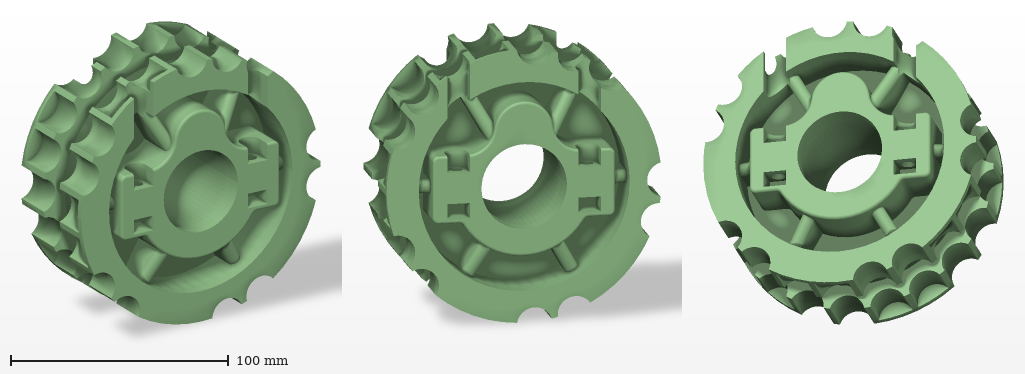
import cadquery as cq
import math

wheel_radius = 64.5
wheel_width = 53.0
half_width = wheel_width / 2
bore_radius = 20.0
groove_radius = 52.8
groove_width = 13.7
cavity_radius = 49.4
web_thickness = 7.0

pocket_count = 21
pocket_radius = 8.4
pocket_axis_radius = 66.0
pocket_wall = 3.0
walled_at_minus_x = (1, 2, 6, 7, 10, 11, 14, 15, 18, 19)
never_walled = (5,)

hub_radius = 33.0
lug_reach = 42.7
lug_half_height = 16.0
lug_corner_radius = 2.7
bump_top = 40.0
bump_radius = 13.8
bump_z = bump_top - bump_radius
blend_radius = 13.4
hub_edge_fillet = 1.3

rib_count = 6
rib_thickness = 6.3
rib_nose_at_hub = 19.4
rib_nose_at_rim = 15.4
rib_start = (bore_radius + hub_radius) / 2
rib_end = (cavity_radius + groove_radius) / 2

bolt_y = 30.7
bolt_to_end = 6.8
bolt_x = half_width - bolt_to_end
bolt_hole_radius = 3.2
seat_radius = 5.3
seat_z = 8.0
nut_top_z = -6.6
nut_bottom_z = -13.8


def disc(radius, width):
    """Cylinder along X, centred on the origin."""
    return cq.Workplane("YZ", origin=(-width / 2, 0, 0)).circle(radius).extrude(width)


def make_rim():
    """Disc with a groove around it, hollowed from both ends down to a central web."""
    groove = disc(wheel_radius, groove_width).cut(disc(groove_radius, groove_width))
    cavities = disc(cavity_radius, wheel_width).cut(disc(cavity_radius, web_thickness))
    return disc(wheel_radius, wheel_width).cut(groove).cut(cavities)


def make_hub():
    """Hub outline extruded along X, with rounded lug corners and end edges."""
    blend_z = lug_half_height + blend_radius
    blend_y = math.sqrt((bump_radius + blend_radius) ** 2 - (blend_z - bump_z) ** 2)
    tilt = math.atan2(blend_z - bump_z, blend_y)
    joint_y = bump_radius * math.cos(tilt)
    joint_z = bump_z + bump_radius * math.sin(tilt)
    middle_angle = (math.pi + tilt + 3 * math.pi / 2) / 2
    middle_y = blend_y + blend_radius * math.cos(middle_angle)
    middle_z = blend_z + blend_radius * math.sin(middle_angle)
    corner_y = math.sqrt(hub_radius**2 - lug_half_height**2)

    hub = (
        cq.Workplane("YZ", origin=(-half_width, 0, 0))
        .moveTo(joint_y, joint_z)
        .threePointArc((middle_y, middle_z), (blend_y, lug_half_height))
        .lineTo(lug_reach, lug_half_height)
        .lineTo(lug_reach, -lug_half_height)
        .lineTo(corner_y, -lug_half_height)
        .threePointArc((0, -hub_radius), (-corner_y, -lug_half_height))
        .lineTo(-lug_reach, -lug_half_height)
        .lineTo(-lug_reach, lug_half_height)
        .lineTo(-blend_y, lug_half_height)
        .threePointArc((-middle_y, middle_z), (-joint_y, joint_z))
        .threePointArc((0, bump_top), (joint_y, joint_z))
        .close()
        .extrude(wheel_width)
    )
    lug_ends = hub.faces("<Y or >Y").edges("|X")
    lug_roots = hub.edges(
        cq.NearestToPointSelector((0, corner_y, -lug_half_height))
        + cq.NearestToPointSelector((0, -corner_y, -lug_half_height))
    )
    hub = hub.newObject(lug_ends.vals() + lug_roots.vals()).fillet(lug_corner_radius)
    return hub.faces("<X or >X").edges().fillet(hub_edge_fillet)


def rib_nose_x(radius):
    """Distance along X from the web centre to a rib's rounding axis, at a distance from the wheel axis."""
    share = (radius - hub_radius) / (cavity_radius - hub_radius)
    return rib_nose_at_hub + share * (rib_nose_at_rim - rib_nose_at_hub)


def make_rib(angle):
    """Radial rib crossing the web, at an angle from +Y in degrees."""
    start_x = rib_nose_x(rib_start)
    end_x = rib_nose_x(rib_end)
    rib = (
        cq.Workplane("XY", origin=(0, 0, -rib_thickness / 2))
        .polyline([(start_x, rib_start), (end_x, rib_end), (-end_x, rib_end), (-start_x, rib_start)])
        .close()
        .extrude(rib_thickness)
    )
    for side_x in (-1, 1):
        nose_start = cq.Vector(side_x * start_x, rib_start, 0)
        nose_axis = cq.Vector(side_x * end_x, rib_end, 0) - nose_start
        nose = cq.Solid.makeCylinder(rib_thickness / 2, nose_axis.Length, nose_start, nose_axis)
        rib = rib.union(cq.Workplane(nose))
    return rib.rotate((0, 0, 0), (1, 0, 0), angle)


def pocket(number):
    """Cutter for one round pocket through both flanges, short of the walls that close it."""
    x_start = -half_width
    x_end = half_width
    if number in walled_at_minus_x:
        x_start += pocket_wall
    elif number not in never_walled:
        x_end -= pocket_wall
    cutter = (
        cq.Workplane("YZ", origin=(x_start, pocket_axis_radius, 0))
        .circle(pocket_radius)
        .extrude(x_end - x_start)
    )
    return cutter.rotate((0, 0, 0), (1, 0, 0), 180 - number * 360 / pocket_count)


def bolt_cutter(side_x, side_y):
    """Bolt hole, head slot from its seat up through the rim, and nut pocket below."""
    bolt = cq.Workplane("XY", origin=(side_x * bolt_x, side_y * bolt_y, 0))
    hole = bolt.workplane(offset=nut_top_z).circle(bolt_hole_radius).extrude(seat_z - nut_top_z)

    seat = bolt.workplane(offset=seat_z)
    slot_height = wheel_radius - seat_z
    slot_end = seat.circle(seat_radius).extrude(slot_height)
    slot = (
        seat.center(side_x * bolt_to_end / 2, 0)
        .rect(bolt_to_end, 2 * seat_radius)
        .extrude(slot_height)
        .union(slot_end)
    )

    nut_depth = bolt_to_end + seat_radius
    nut_pocket = (
        bolt.workplane(offset=nut_bottom_z)
        .center(side_x * (bolt_to_end - nut_depth / 2), 0)
        .rect(nut_depth, 2 * seat_radius)
        .extrude(nut_top_z - nut_bottom_z)
    )
    return hole.union(slot).union(nut_pocket)


def make_wheel():
    """Both halves of the wheel in one piece."""
    wheel = make_rim().union(make_hub())
    for index in range(rib_count):
        wheel = wheel.union(make_rib(index * 360 / rib_count))
    wheel = wheel.cut(disc(bore_radius, wheel_width))
    for number in range(pocket_count):
        wheel = wheel.cut(pocket(number))
    for side_x in (-1, 1):
        for side_y in (-1, 1):
            wheel = wheel.cut(bolt_cutter(side_x, side_y))
    return wheel


def wheel_half(wheel, side_z):
    """Half of the wheel above (1) or below (-1) the plane Z = 0."""
    half_space = cq.Workplane("XY").box(2 * wheel_width, 4 * wheel_radius, 2 * wheel_radius)
    return wheel.intersect(half_space.translate((0, 0, side_z * wheel_radius)))


whole_wheel = make_wheel()
upper_half = wheel_half(whole_wheel, 1)
lower_half = wheel_half(whole_wheel, -1)
result = cq.Compound.makeCompound([upper_half.val(), lower_half.val()])